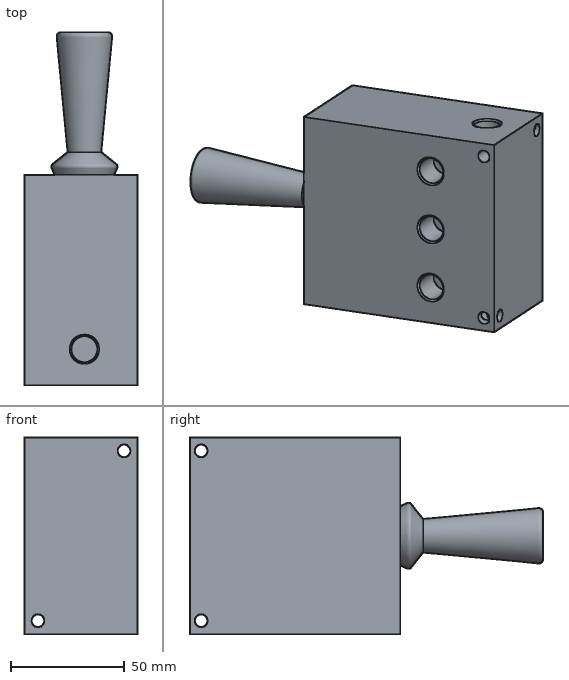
import cadquery as cq

block_width = 50.0
block_length = 93.0
block_height = 87.0

mount_diameter = 5.5
mount_inset = 6.0
side_mount_setback = 5.0
mount_x = block_width / 2 - mount_inset
mount_z = block_height / 2 - mount_inset

port_diameter = 11.45
port_mouth_diameter = 13.0
port_depth = 15.0
port_chamfer = (port_mouth_diameter - port_diameter) / 2
side_port_setback = 31.0
side_port_pitch = 27.0
top_port_setback = 16.0

lever_offset = 1.5

lever_length = 63.0
tip_radius = 12.5
tip_fillet = 2.0
neck_radius = 7.5
neck_distance = 10.0
collar_radius = 15.0
collar_distance = 4.0
collar_fillet = 1.5
collar_base_radius = 13.2


def make_block():
    return cq.Workplane("XY").box(block_width, block_length, block_height).translate((0, block_length / 2, 0))


def make_lever():
    """Turned lever: flared collar, narrow neck and tapered grip with rounded rims."""
    profile = [
        (0, 0),
        (collar_base_radius, 0),
        (collar_radius, collar_distance),
        (neck_radius, neck_distance),
        (tip_radius, lever_length),
        (0, lever_length),
    ]
    lever = cq.Workplane("XY").polyline(profile).close().revolve(360, (0, 0), (0, 1))
    lever = lever.faces(">Y").edges().fillet(tip_fillet)
    collar_rim = cq.selectors.RadiusNthSelector(-1)
    lever = lever.edges("%CIRCLE").edges(collar_rim).fillet(collar_fillet)
    return lever.translate((lever_offset, block_length, 0))


def make_drill(diameter, depth, start, direction):
    return cq.Workplane(cq.Solid.makeCylinder(diameter / 2, depth, cq.Vector(*start), cq.Vector(*direction)))


def make_port(start, direction):
    """Port cutter: straight bore plus the 45 degree chamfer at its mouth."""
    mouth = cq.Solid.makeCone(
        port_mouth_diameter / 2,
        port_diameter / 2,
        port_chamfer,
        cq.Vector(*start),
        cq.Vector(*direction),
    )
    return make_drill(port_diameter, port_depth, start, direction).union(cq.Workplane(mouth))


def cut_mounting_holes(body):
    for side in (-1, 1):
        lengthwise_start = (side * mount_x, 0, side * mount_z)
        body = body.cut(make_drill(mount_diameter, block_length, lengthwise_start, (0, 1, 0)))
        crosswise_start = (-block_width / 2, side_mount_setback, side * mount_z)
        body = body.cut(make_drill(mount_diameter, block_width, crosswise_start, (1, 0, 0)))
    return body


def cut_ports(body):
    for row in (-1, 0, 1):
        side_start = (-block_width / 2, side_port_setback, row * side_port_pitch)
        body = body.cut(make_port(side_start, (1, 0, 0)))
    top_start = (lever_offset, top_port_setback, block_height / 2)
    return body.cut(make_port(top_start, (0, 0, -1)))


result = cut_ports(cut_mounting_holes(make_block().union(make_lever())))